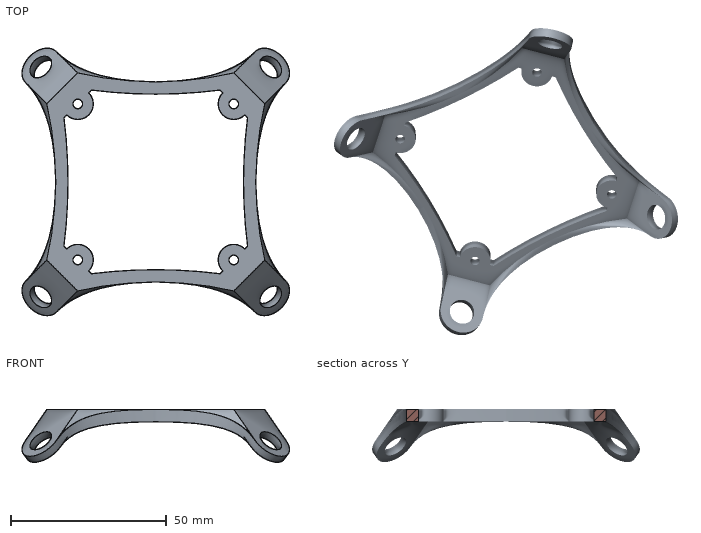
import cadquery as cq
import math


PAD_WIDTH = 14.0
PAD_TILT = math.radians(45.78)
FOLD_OFFSET = 30.0
PAD_REACH = 13.95
PAD_HOLE_DIAMETER = 8.0

CORNER_COUNT = 4
FRAME_DEPTH = 4.0
SIDE_OUTER = 32.1
SIDE_INNER = 28.1
INNER_CORNER_X = 20.6
UPPER_SIDE_PULL = 16.0
UPPER_PAD_PULL = 12.1
LOWER_SIDE_PULL = 14.7
LOWER_PAD_PULL = 9.3

BOSS_OFFSET = 25.0
BOSS_DIAMETER = 10.0
SCREW_HOLE_DIAMETER = 3.0

PAD_RADIUS = PAD_WIDTH / 2
PAD_THICKNESS = FRAME_DEPTH * math.cos(PAD_TILT)
INNER_CORNER_Y = 2 * BOSS_OFFSET - INNER_CORNER_X
SIDE_CENTER = (SIDE_OUTER + SIDE_INNER) / 2

HALF_ROOT = math.sqrt(0.5)
DOWN_SLOPE = cq.Vector(
    math.cos(PAD_TILT) * HALF_ROOT, math.cos(PAD_TILT) * HALF_ROOT, -math.sin(PAD_TILT)
)
ACROSS = cq.Vector(-HALF_ROOT, HALF_ROOT, 0)
PAD_NORMAL = DOWN_SLOPE.cross(ACROSS)

FOLD_CENTER = cq.Vector(FOLD_OFFSET, FOLD_OFFSET, 0)
ALONG_SIDE = cq.Vector(1, 0, 0)
DROP = cq.Vector(0, 0, -FRAME_DEPTH)


def polygon_face(*corners):
    return cq.Face.makeFromWires(cq.Wire.makePolygon(list(corners), close=True))


def arch_edge(side_middle, pad_end, side_pull, pad_pull):
    """Curve that starts level along the frame side and runs into the edge of the pad."""
    return cq.Edge.makeBezier([
        side_middle,
        side_middle + ALONG_SIDE * side_pull,
        pad_end - DOWN_SLOPE * pad_pull,
        pad_end,
    ])


def level_edge(side_middle, corner):
    """Level arc from the middle of a side to the corner."""
    return cq.Edge.makeTangentArc(side_middle, ALONG_SIDE, corner)


def half_side():
    """Half of the +Y side: from the pad edge of the +X +Y corner to the plane X = 0."""
    fold_end = FOLD_CENTER + ACROSS * PAD_RADIUS
    fold_end_low = fold_end + DROP
    pad_end = fold_end + DOWN_SLOPE * PAD_REACH
    pad_end_low = pad_end - PAD_NORMAL * PAD_THICKNESS
    inner_end = cq.Vector(INNER_CORNER_X, INNER_CORNER_Y, 0)
    inner_end_low = inner_end + DROP

    outer_mid = cq.Vector(0, SIDE_OUTER, 0)
    inner_mid = cq.Vector(0, SIDE_INNER, 0)
    center_mid_low = cq.Vector(0, SIDE_CENTER, 0) + DROP

    outer_top = level_edge(outer_mid, fold_end)
    inner_top = level_edge(inner_mid, inner_end)
    inner_low = level_edge(inner_mid + DROP, inner_end_low)
    center_low = level_edge(center_mid_low, fold_end_low)
    upper_arch = arch_edge(outer_mid, pad_end, UPPER_SIDE_PULL, UPPER_PAD_PULL)
    lower_arch = arch_edge(outer_mid + DROP, pad_end_low, LOWER_SIDE_PULL, LOWER_PAD_PULL)

    faces = [
        cq.Face.makeRuledSurface(outer_top, inner_top),
        cq.Face.makeRuledSurface(outer_top, upper_arch),
        cq.Face.makeRuledSurface(upper_arch, lower_arch),
        cq.Face.makeRuledSurface(lower_arch, center_low),
        cq.Face.makeRuledSurface(center_low, inner_low),
        cq.Face.makeRuledSurface(inner_low, inner_top),
        polygon_face(fold_end, pad_end, pad_end_low, fold_end_low),
        polygon_face(fold_end, fold_end_low, inner_end_low, inner_end),
        polygon_face(outer_mid, outer_mid + DROP, center_mid_low, inner_mid + DROP, inner_mid),
    ]
    return cq.Workplane(cq.Solid.makeSolid(cq.Shell.makeShell(faces)))


def corner_block():
    """Level block between the two sides that meet at a corner, up to the fold."""
    fold_end = FOLD_CENTER + ACROSS * PAD_RADIUS
    return (
        cq.Workplane()
        .polyline([
            (fold_end.x, fold_end.y),
            (INNER_CORNER_X, INNER_CORNER_Y),
            (INNER_CORNER_Y, INNER_CORNER_X),
            (fold_end.y, fold_end.x),
        ])
        .close()
        .extrude(-FRAME_DEPTH)
    )


def pad():
    """Sloping round-ended plate whose underside meets that of the corner block."""
    slope_plane = cq.Plane(FOLD_CENTER, DOWN_SLOPE, PAD_NORMAL)
    plate = (
        cq.Workplane(slope_plane)
        .moveTo(0, -PAD_RADIUS)
        .lineTo(PAD_REACH, -PAD_RADIUS)
        .threePointArc((PAD_REACH + PAD_RADIUS, 0), (PAD_REACH, PAD_RADIUS))
        .lineTo(0, PAD_RADIUS)
        .close()
        .extrude(-PAD_THICKNESS)
    )
    hole = (
        cq.Workplane(slope_plane)
        .center(PAD_REACH, 0)
        .circle(PAD_HOLE_DIAMETER / 2)
        .extrude(-PAD_THICKNESS)
    )
    return plate.cut(hole)


def boss_cylinder(diameter):
    """Upright cylinder on the axis of the corner's screw boss, as deep as the frame."""
    return (
        cq.Workplane()
        .center(BOSS_OFFSET, BOSS_OFFSET)
        .circle(diameter / 2)
        .extrude(-FRAME_DEPTH)
    )


def corner():
    """One complete corner with half of each adjoining side."""
    side = half_side()
    other_side = side.mirror("YZ").rotate((0, 0, 0), (0, 0, 1), -90)
    frame = corner_block().union(side).union(other_side).union(pad())
    boss = boss_cylinder(BOSS_DIAMETER)
    with_boss = frame.cut(boss).union(boss, clean=False)
    return with_boss.cut(boss_cylinder(SCREW_HOLE_DIAMETER), clean=False)


first_corner = corner()
result = first_corner
for index in range(1, CORNER_COUNT):
    turned = first_corner.rotate((0, 0, 0), (0, 0, 1), index * 360 / CORNER_COUNT)
    result = result.union(turned, clean=False)